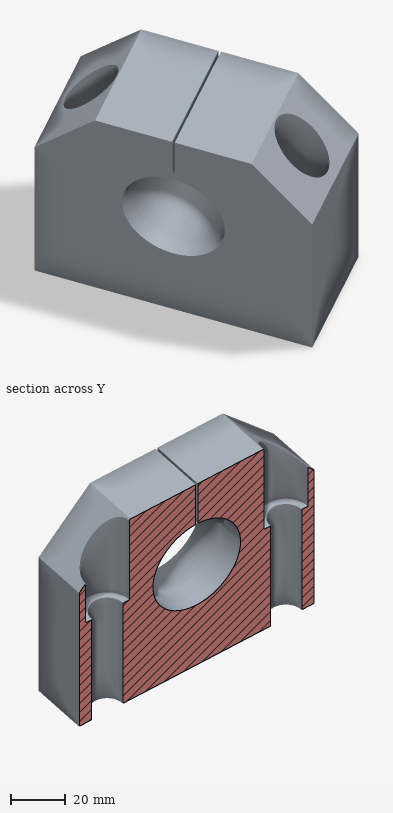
import cadquery as cq

width = 108.0
depth = 48.0
height = 90.0
corner_chamfer = 23.5

bore_diameter = 40.0
bore_height = 50.0
slit_width = 1.0

hole_spacing = 82.0
hole_diameter = 14.3
counterbore_diameter = 20.0
counterbore_floor = bore_height


def make_block():
    """Rectangular block, base at Z = 0, with both upper side corners cut at 45 degrees."""
    block = cq.Workplane("XY").box(width, depth, height, centered=(True, True, False))
    return block.edges("|Y and >Z").chamfer(corner_chamfer)


def make_bore():
    """Shaft bore running through the block along Y."""
    return (
        cq.Workplane("XZ")
        .center(0, bore_height)
        .circle(bore_diameter / 2)
        .extrude(depth / 2, both=True)
    )


def make_slit():
    """Clamping slit from the bore up through the top face."""
    slit_height = height - bore_height
    return (
        cq.Workplane("XY", origin=(0, 0, bore_height))
        .box(slit_width, depth, slit_height, centered=(True, True, False))
    )


def make_mounting_hole(x):
    """Vertical through hole at x, widened above the counterbore floor."""
    hole = cq.Workplane("XY").center(x, 0).circle(hole_diameter / 2).extrude(height)
    counterbore = (
        cq.Workplane("XY", origin=(x, 0, counterbore_floor))
        .circle(counterbore_diameter / 2)
        .extrude(height - counterbore_floor)
    )
    return hole.union(counterbore)


result = make_block().cut(make_bore()).cut(make_slit())
for side in (-1, 1):
    result = result.cut(make_mounting_hole(side * hole_spacing / 2))